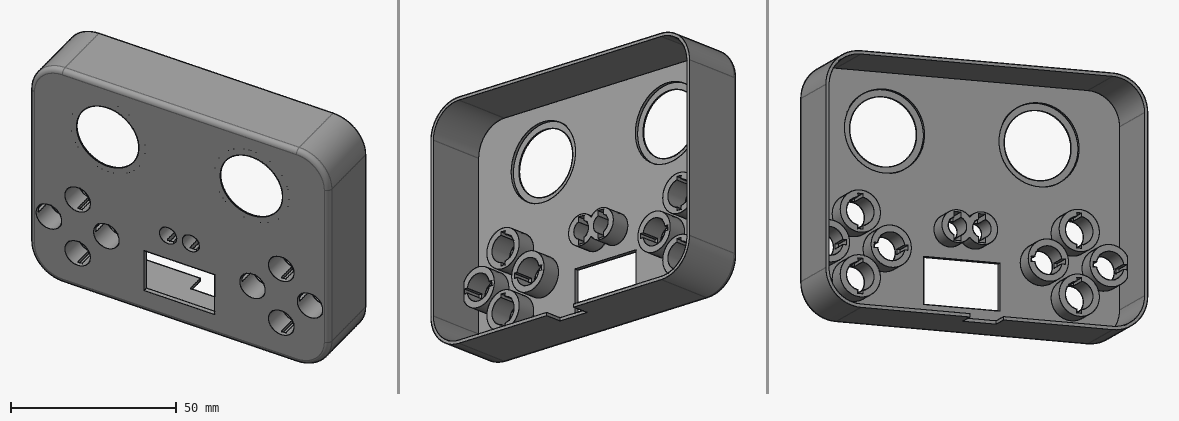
import cadquery as cq

width = 104.4
depth = 22.0
height = 79.5
corner_radius = 11.4
front_fillet = 1.7
wall = 1.0
face_wall = 1.5
front_y = -depth / 2

eye_diameter = 21.7
eye_offset_x = 25.1
eye_z = 20.6
eye_rim = 0.4
eye_recess_diameter = 26.0

tube_end = 8.0

button_diameter = 8.9
button_tube_wall = 2.1
button_slot_width = 1.6
button_slot_depth = 1.0
cluster_offset_x = 35.5
cluster_z = -16.5
button_pitch = 10.0

led_diameter = 6.0
led_tube_wall = 2.1
led_slot_width = 2.2
led_slot_depth = 1.5
led_offset_x = 4.0
led_z = -8.5

window_width = 24.6
window_height = 14.8
window_z = -24.5

notch_width = 10.9
notch_length = 6.1


def front_plane(setback=0.0):
    """Workplane facing front; a negative extrusion runs toward the back."""
    return cq.Workplane("XZ", origin=(0, front_y + setback, 0))


def rounded_block(inset, setback):
    """Rounded block inset from the outline, running from the setback to the back."""
    block = front_plane(setback).rect(width - 2 * inset, height - 2 * inset).extrude(setback - depth)
    return block.edges("|Y").fillet(corner_radius - inset)


def make_shell():
    outer = rounded_block(0, 0).faces("<Y").edges().fillet(front_fillet)
    return outer.cut(rounded_block(wall, face_wall))


def add_tube(shell, x, z, diameter, tube_wall):
    """Tube behind the face, trimmed where it would break through the side wall."""
    start = face_wall / 2
    tube = front_plane(start).center(x, z).circle(diameter / 2 + tube_wall).extrude(start - tube_end)
    return shell.union(tube.intersect(rounded_block(wall / 2, start)))


def cut_hole(shell, x, z, diameter, slot_x, slot_z):
    """Through hole, with a slot across it in the tube behind the face wall."""
    shell = shell.cut(front_plane().center(x, z).circle(diameter / 2).extrude(-depth))
    return shell.cut(front_plane(face_wall).center(x, z).rect(slot_x, slot_z).extrude(face_wall - tube_end))


button_slot_length = button_diameter + 2 * button_slot_depth
led_slot_length = led_diameter + 2 * led_slot_depth
upright_buttons = []
sideways_buttons = []
leds = []
for side in (-1, 1):
    cluster_x = side * cluster_offset_x
    leds.append((side * led_offset_x, led_z))
    for shift in (-button_pitch, button_pitch):
        upright_buttons.append((cluster_x, cluster_z + shift))
        sideways_buttons.append((cluster_x + shift, cluster_z))

result = make_shell()
for x, z in upright_buttons + sideways_buttons:
    result = add_tube(result, x, z, button_diameter, button_tube_wall)
for x, z in leds:
    result = add_tube(result, x, z, led_diameter, led_tube_wall)

for x, z in upright_buttons:
    result = cut_hole(result, x, z, button_diameter, button_slot_width, button_slot_length)
for x, z in sideways_buttons:
    result = cut_hole(result, x, z, button_diameter, button_slot_length, button_slot_width)
for x, z in leds:
    result = cut_hole(result, x, z, led_diameter, led_slot_width, led_slot_length)

eye_centers = [(-eye_offset_x, eye_z), (eye_offset_x, eye_z)]
result = result.cut(front_plane().pushPoints(eye_centers).circle(eye_diameter / 2).extrude(-depth))
recesses = front_plane(eye_rim).pushPoints(eye_centers).circle(eye_recess_diameter / 2)
result = result.cut(recesses.extrude(eye_rim - face_wall))

result = result.cut(front_plane().center(0, window_z).rect(window_width, window_height).extrude(-face_wall))

notch = cq.Workplane("XY").box(notch_width, 2 * notch_length, 2 * wall)
result = result.cut(notch.translate((0, depth / 2, -height / 2)))